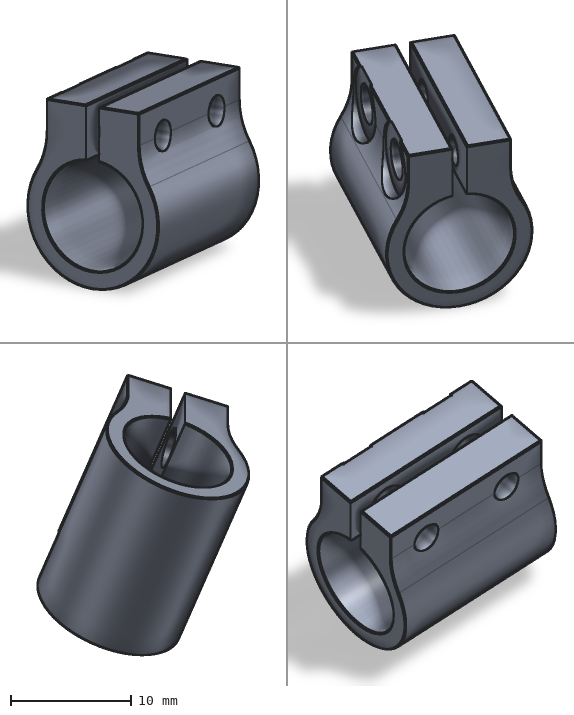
import cadquery as cq
import math

length = 16.57
height = 15.82
outer_radius = 12.68 / 2
bore_radius = 4.75
ear_half_width = 4.47
neck_radius = 6.63
slot_width = 1.26
edge_chamfer = 0.1

screw_spacing = 8.77
screw_height = 6.65
head_radius = 3.18
head_seat_x = -4.29
clearance_radius = 1.74
thread_radius = 1.31

top_z = height - outer_radius

neck_center_x = ear_half_width + neck_radius
center_distance = outer_radius + neck_radius
neck_center_z = math.sqrt(center_distance**2 - neck_center_x**2)
neck_angle = math.atan2(neck_center_z, neck_center_x)
ring_tangent_x = outer_radius * math.cos(neck_angle)
ring_tangent_z = outer_radius * math.sin(neck_angle)
neck_mid_x = neck_center_x - neck_radius * math.cos(neck_angle / 2)
neck_mid_z = neck_center_z - neck_radius * math.sin(neck_angle / 2)


def clamp_body():
    """Ring and ears as one extrusion, with its outer edges broken."""
    body = (
        cq.Workplane("XZ", origin=(0, length / 2, 0))
        .moveTo(-ear_half_width, top_z)
        .lineTo(ear_half_width, top_z)
        .lineTo(ear_half_width, neck_center_z)
        .threePointArc((neck_mid_x, neck_mid_z), (ring_tangent_x, ring_tangent_z))
        .threePointArc((0, -outer_radius), (-ring_tangent_x, ring_tangent_z))
        .threePointArc((-neck_mid_x, neck_mid_z), (-ear_half_width, neck_center_z))
        .close()
        .extrude(length)
    )
    return body.faces("<Y or >Y or >Z").edges().chamfer(edge_chamfer)


def cut_bore(body):
    """Through bore, chamfered at both ends."""
    bore = cq.Workplane("XZ", origin=(0, length / 2, 0)).circle(bore_radius).extrude(length)
    return body.cut(bore).edges(cq.selectors.RadiusNthSelector(0)).chamfer(edge_chamfer)


def cut_slot(body):
    """Slot from the bore up between the ears, with chamfered top edges."""
    slot = cq.Workplane("XY").rect(slot_width, length).extrude(top_z)
    half = slot_width / 2
    flare = (
        cq.Workplane("XZ", origin=(0, length / 2, 0))
        .moveTo(-half, top_z - edge_chamfer)
        .lineTo(half, top_z - edge_chamfer)
        .lineTo(half + edge_chamfer, top_z)
        .lineTo(-half - edge_chamfer, top_z)
        .close()
        .extrude(length)
    )
    return body.cut(slot).cut(flare)


def x_cylinder(radius, start_x, end_x, y):
    """Cylinder along X at screw height."""
    plane = cq.Workplane("YZ", origin=(start_x, y, screw_height))
    return plane.circle(radius).extrude(end_x - start_x)


def cut_screw(body, y):
    """Head seat and clearance hole in the -X ear, thread hole in the +X ear."""
    body = body.cut(x_cylinder(head_radius, -outer_radius, head_seat_x, y))
    body = body.cut(x_cylinder(clearance_radius, head_seat_x, 0, y))
    return body.cut(x_cylinder(thread_radius, 0, outer_radius, y))


result = cut_slot(cut_bore(clamp_body()))
for screw_y in (-screw_spacing / 2, screw_spacing / 2):
    result = cut_screw(result, screw_y)